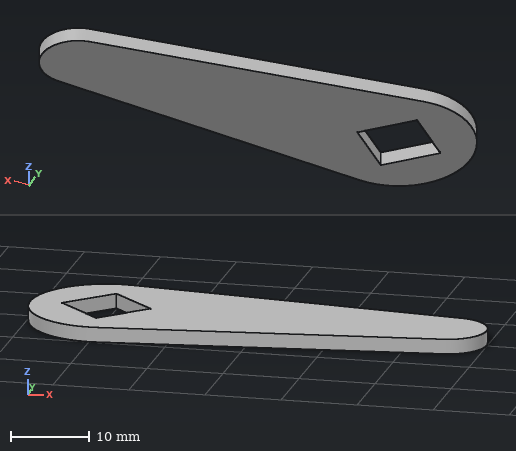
import cadquery as cq
import math

length = 60.0
head_diameter = 20.0
tip_diameter = 10.0
thickness = 2.0
hole_length = 11.65
hole_width = 11.3

head_radius = head_diameter / 2
tip_radius = tip_diameter / 2
center_distance = length - head_radius - tip_radius

flank_angle = math.asin((head_radius - tip_radius) / center_distance)


def tangent_point(center_x, radius):
    """Upper point where a flank meets an end arc."""
    return (
        center_x + radius * math.sin(flank_angle),
        radius * math.cos(flank_angle),
    )


def lever_plate():
    """Tapered plate with the head center at the origin."""
    head_x, head_y = tangent_point(0, head_radius)
    tip_x, tip_y = tangent_point(center_distance, tip_radius)
    return (
        cq.Workplane("XY")
        .moveTo(head_x, head_y)
        .lineTo(tip_x, tip_y)
        .threePointArc((center_distance + tip_radius, 0), (tip_x, -tip_y))
        .lineTo(head_x, -head_y)
        .threePointArc((-head_radius, 0), (head_x, head_y))
        .close()
        .extrude(thickness)
    )


def diamond_hole():
    """Through hole with its corners on the head's X and Y axes."""
    half_length = hole_length / 2
    half_width = hole_width / 2
    corners = [(half_length, 0), (0, half_width), (-half_length, 0), (0, -half_width)]
    return cq.Workplane("XY").polyline(corners).close().extrude(thickness)


result = lever_plate().cut(diamond_hole())